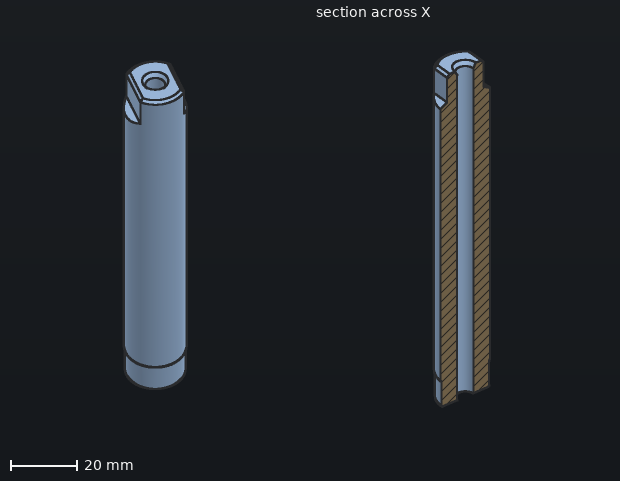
import cadquery as cq
import math

length = 120.0
shaft_diameter = 19.1
shaft_radius = shaft_diameter / 2

spigot_diameter = 18.5
spigot_radius = spigot_diameter / 2
shoulder_height = 10.0
spigot_chamfer = 0.5
shoulder_taper_height = 0.6

across_flats = 14.0
flat_length = 10.0
ledge_angle = 30.0
top_chamfer = 1.0

hole_diameter = 6.0
countersink_diameter = 7.9
countersink_angle = 60.0


def make_shaft():
    """Revolve the stepped shaft, with a short taper under the shoulder."""
    profile = [
        (0, 0),
        (spigot_radius - spigot_chamfer, 0),
        (spigot_radius, spigot_chamfer),
        (spigot_radius, shoulder_height - shoulder_taper_height),
        (shaft_radius, shoulder_height),
        (shaft_radius, length - top_chamfer),
        (shaft_radius - top_chamfer, length),
        (0, length),
    ]
    return cq.Workplane("XZ").polyline(profile).close().revolve(360, (0, 0), (0, 1))


def make_flat_cutter(side):
    """Solid removed beside one flat; side is +1 or -1 along Y."""
    flat_y = across_flats / 2
    outer_y = shaft_diameter
    ledge_z = length - flat_length
    ledge_drop = (outer_y - flat_y) * math.tan(math.radians(ledge_angle))
    profile = [
        (side * flat_y, ledge_z),
        (side * flat_y, length - top_chamfer),
        (side * (flat_y - top_chamfer), length),
        (side * outer_y, length),
        (side * outer_y, ledge_z - ledge_drop),
    ]
    return cq.Workplane("YZ").polyline(profile).close().extrude(shaft_radius, both=True)


result = make_shaft()
for side in (-1, 1):
    result = result.cut(make_flat_cutter(side))

result = result.faces(">Z").workplane(origin=(0, 0, length)).cskHole(
    hole_diameter, countersink_diameter, countersink_angle
)